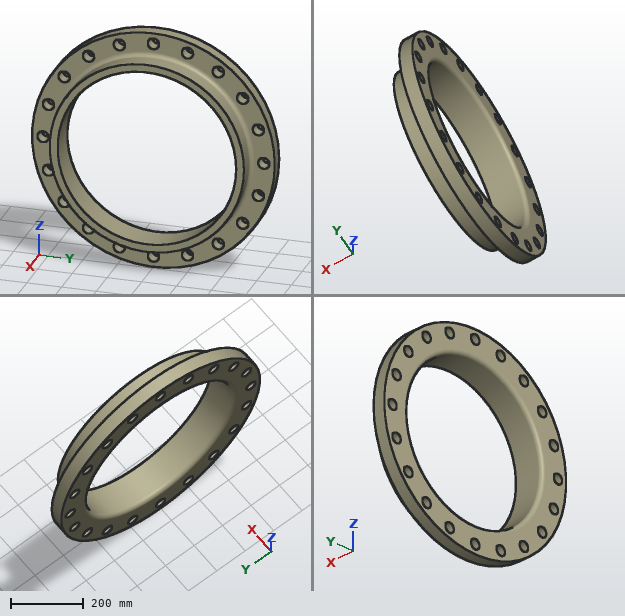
import cadquery as cq

flange_diameter = 698.5
flange_thickness = 42.5
hub_diameter = 559.0
overall_length = 103.5
bore_diameter = 513.5
bore_lip_radius = 13.0
hub_fillet_radius = 12.5
bolt_circle_diameter = 635.0
bolt_hole_diameter = 32.0
bolt_count = 20


def disc(diameter, length):
    """Solid cylinder along +X from the flat face."""
    return cq.Workplane("YZ").circle(diameter / 2).extrude(length)


body = disc(flange_diameter, flange_thickness).union(disc(hub_diameter, overall_length))
smallest_circle = cq.selectors.RadiusNthSelector(0)
flange_back = body.faces("<X[1]")
body = flange_back.edges(smallest_circle).fillet(hub_fillet_radius)

body = body.cut(disc(bore_diameter, overall_length))
body = body.faces("<X").edges(smallest_circle).fillet(bore_lip_radius)

bolt_holes = (
    cq.Workplane("YZ")
    .polarArray(bolt_circle_diameter / 2, 0, 360, bolt_count)
    .circle(bolt_hole_diameter / 2)
    .extrude(flange_thickness)
)

result = body.cut(bolt_holes)